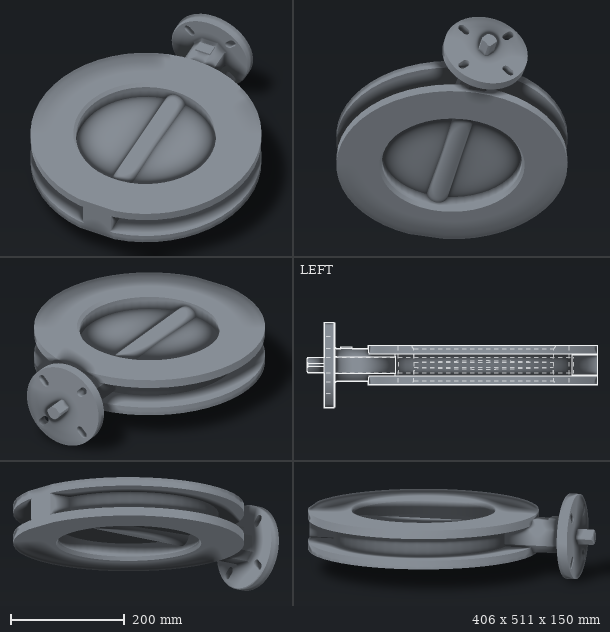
import cadquery as cq


RING_DIAMETER = 406.0
RING_RADIUS = RING_DIAMETER / 2
RING_WIDTH = 69.5
RIM_THICKNESS = 15.5
GROOVE_RADIUS = 158.0
GROOVE_WIDTH = RING_WIDTH - 2 * RIM_THICKNESS

OVERALL_LENGTH = 511.0
FLAT_Y = -200.5
BOSS_WIDTH = 53.5
BOSS_CORNER_CUT = 9.0

NECK_WIDTH = 57.5
NECK_CORNER_CUT = 14.5
NECK_FILLET = 4.0

FLANGE_RADIUS = 75.0
FLANGE_THICKNESS = 19.0
FLANGE_TOP_Y = 280.5
FLANGE_BOTTOM_Y = FLANGE_TOP_Y - FLANGE_THICKNESS
FLANGE_CHAMFER = 1.5
SLOT_COUNT = 4
SLOT_WIDTH = 13.5
SLOT_INNER_RADIUS = 51.0
SLOT_OUTER_RADIUS = 61.5

PLATE_WIDTH = NECK_WIDTH - 2 * NECK_CORNER_CUT
PLATE_LENGTH = 20.5
PLATE_HEIGHT = 3.0
PLATE_CENTRE_Y = 241.0

LINER_RADIUS = 150.0
BORE_RADIUS = 123.0
BORE_CHAMFER_WIDTH = 4.5
BORE_CHAMFER_DEPTH = 6.5

DISC_RIM_THICKNESS = 9.0
DISC_CENTRE_THICKNESS = 16.5
DISC_HUB_DIAMETER = 39.5
DISC_HUB_RADIUS = DISC_HUB_DIAMETER / 2

STEM_DIAMETER = 27.0
STEM_RADIUS = STEM_DIAMETER / 2
STEM_SQUARE = 22.5
STEM_CHAMFER = 2.0
STEM_TOP_Y = FLAT_Y + OVERALL_LENGTH
STEM_BOTTOM_Y = -GROOVE_RADIUS


def cylinder_z(radius, height):
    """Cylinder on the Z axis, centred on the origin."""
    return cq.Workplane("XY").circle(radius).extrude(height / 2, both=True)


def plane_at_y(y):
    """Workplane across the stem axis whose extrusions grow toward +Y."""
    return cq.Workplane("XZ", origin=(0, y, 0)).transformed(rotate=(0, 180, 0))


def cylinder_y(radius, y_start, y_end):
    """Cylinder on the Y axis."""
    return plane_at_y(y_start).circle(radius).extrude(y_end - y_start)


def octagonal_bar(width, corner_cut, y_start, y_end):
    """Square bar along Y with its four long edges chamfered."""
    bar = plane_at_y(y_start).rect(width, width).extrude(y_end - y_start)
    return bar.edges("|Y").chamfer(corner_cut)


def make_ring():
    """Two rims joined by a narrower hub, with one flat across the far side."""
    groove = cylinder_z(RING_RADIUS, GROOVE_WIDTH).cut(cylinder_z(GROOVE_RADIUS, GROOVE_WIDTH))
    ring = cylinder_z(RING_RADIUS, RING_WIDTH).cut(groove)
    ring = ring.union(octagonal_bar(BOSS_WIDTH, BOSS_CORNER_CUT, FLAT_Y, 0))
    beyond_flat = cq.Workplane("XY").box(
        2 * RING_RADIUS, RING_RADIUS, RING_WIDTH
    ).translate((0, FLAT_Y - RING_RADIUS / 2, 0))
    return ring.cut(beyond_flat)


def make_flange():
    """Round top flange with radial bolt slots on its diagonals."""
    flange = cylinder_y(FLANGE_RADIUS, FLANGE_BOTTOM_Y, FLANGE_TOP_Y)
    flange = flange.faces("<Y").edges().chamfer(FLANGE_CHAMFER)
    slot_length = SLOT_OUTER_RADIUS - SLOT_INNER_RADIUS + SLOT_WIDTH
    slot = (
        plane_at_y(FLANGE_BOTTOM_Y)
        .center((SLOT_INNER_RADIUS + SLOT_OUTER_RADIUS) / 2, 0)
        .slot2D(slot_length, SLOT_WIDTH)
        .extrude(FLANGE_THICKNESS)
    )
    step = 360 / SLOT_COUNT
    for index in range(SLOT_COUNT):
        flange = flange.cut(slot.rotate((0, 0, 0), (0, 1, 0), (index + 0.5) * step))
    return flange


def make_neck_and_flange():
    """Eight-sided neck blended into the underside of the flange."""
    neck = octagonal_bar(NECK_WIDTH, NECK_CORNER_CUT, 0, FLANGE_BOTTOM_Y)
    joint_reach = NECK_WIDTH / 2 + NECK_FILLET
    joint = cq.selectors.BoxSelector(
        (-joint_reach, FLANGE_BOTTOM_Y - NECK_FILLET / 2, -joint_reach),
        (joint_reach, FLANGE_BOTTOM_Y + NECK_FILLET / 2, joint_reach),
    )
    return neck.union(make_flange()).edges("%LINE").edges(joint).fillet(NECK_FILLET)


def make_name_plate():
    plate = cq.Workplane("XY").box(PLATE_WIDTH, PLATE_LENGTH, PLATE_HEIGHT)
    return plate.translate((0, PLATE_CENTRE_Y, (NECK_WIDTH + PLATE_HEIGHT) / 2))


def make_stem():
    """Round shaft whose drive end, above the flange, is a square with rounded corners."""
    stem = cylinder_y(STEM_RADIUS, STEM_BOTTOM_Y, STEM_TOP_Y)
    stem = stem.faces(">Y").edges().chamfer(STEM_CHAMFER)
    drive_length = STEM_TOP_Y - FLANGE_TOP_Y
    square = plane_at_y(FLANGE_TOP_Y).rect(STEM_SQUARE, STEM_SQUARE).extrude(drive_length)
    square = square.rotate((0, 0, 0), (0, 1, 0), 45)
    around_square = cylinder_y(2 * STEM_RADIUS, FLANGE_TOP_Y, STEM_TOP_Y).cut(square)
    return stem.cut(around_square)


def make_housing(stem_hole):
    housing = make_ring().union(make_neck_and_flange()).union(make_name_plate())
    return housing.cut(cylinder_z(LINER_RADIUS, RING_WIDTH)).cut(stem_hole)


def make_liner(stem_hole):
    """Ring lining the housing, with a flared lead-in at both ends of its bore."""
    half_width = RING_WIDTH / 2
    throat_z = half_width - BORE_CHAMFER_DEPTH
    mouth_radius = BORE_RADIUS + BORE_CHAMFER_WIDTH
    liner = (
        cq.Workplane("XZ")
        .moveTo(LINER_RADIUS, -half_width)
        .lineTo(LINER_RADIUS, half_width)
        .lineTo(mouth_radius, half_width)
        .lineTo(BORE_RADIUS, throat_z)
        .lineTo(BORE_RADIUS, -throat_z)
        .lineTo(mouth_radius, -half_width)
        .close()
        .revolve(360, (0, 0, 0), (0, 1, 0))
    )
    return liner.cut(stem_hole)


def make_disc(stem_hole):
    """Shallow double cone with a round hub along the stem, closing the bore."""
    plate = (
        cq.Workplane("XZ")
        .moveTo(0, -DISC_CENTRE_THICKNESS / 2)
        .lineTo(BORE_RADIUS, -DISC_RIM_THICKNESS / 2)
        .lineTo(BORE_RADIUS, DISC_RIM_THICKNESS / 2)
        .lineTo(0, DISC_CENTRE_THICKNESS / 2)
        .close()
        .revolve(360, (0, 0, 0), (0, 1, 0))
    )
    hub = cylinder_y(DISC_HUB_RADIUS, -BORE_RADIUS, BORE_RADIUS)
    hub = hub.intersect(cylinder_z(BORE_RADIUS, RING_WIDTH))
    return plate.union(hub).cut(stem_hole)


stem_hole = cylinder_y(STEM_RADIUS, STEM_BOTTOM_Y, FLANGE_TOP_Y)
housing = make_housing(stem_hole)
liner = make_liner(stem_hole)
disc = make_disc(stem_hole)
stem = make_stem()

result = cq.Compound.makeCompound([housing.val(), liner.val(), disc.val(), stem.val()])